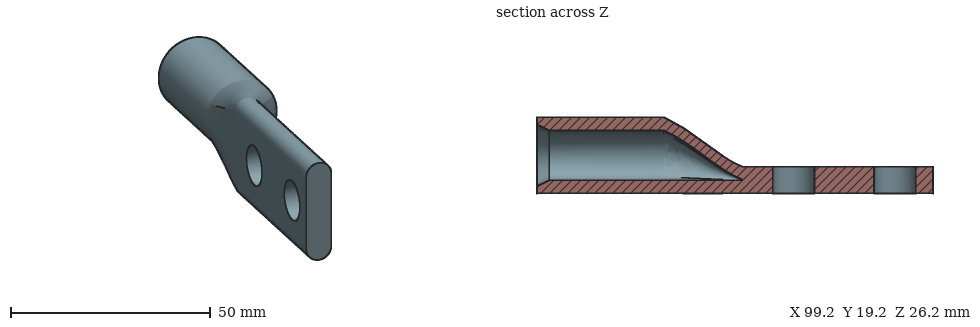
import math

import cadquery as cq


total_length = 99.22
barrel_diameter = 19.2
barrel_length = 31.75
neck_length = 19.75
bore_diameter = 12.4
mouth_diameter = 15.4
mouth_depth = 3.1
tongue_width = 26.19
hole_diameter = 10.4
hole_spacing = 25.4
hole_end_distance = 9.55

seam_angle = math.radians(29)
end_slope = 0.65
neck_steps = 4
slit_thickness = 0.05

barrel_radius = barrel_diameter / 2
bore_radius = bore_diameter / 2
mouth_radius = mouth_diameter / 2
wall = barrel_radius - bore_radius
tongue_thickness = 2 * wall
tongue_y = wall - barrel_radius
flat_width = tongue_width - tongue_thickness
neck_end = barrel_length + neck_length
tongue_length = total_length - neck_end
far_hole_x = total_length - hole_end_distance


def yz_plane(x):
    """Cross-section plane at x, with local axes along Y and Z."""
    return cq.Workplane("YZ", origin=(x, 0, 0))


def round_points(radius):
    """Circle as eight (y, z) points: alternating arc ends and arc middles."""
    angles = [
        -seam_angle,
        0,
        seam_angle,
        math.pi / 2,
        math.pi - seam_angle,
        math.pi,
        math.pi + seam_angle,
        3 * math.pi / 2,
    ]
    return [(radius * math.cos(angle), radius * math.sin(angle)) for angle in angles]


def flat_points(thickness):
    """Flattened section as eight (y, z) points matching those of the circle."""
    half_thickness = thickness / 2
    half_flat = flat_width / 2
    front = tongue_y + half_thickness
    back = tongue_y - half_thickness
    tip = half_flat + half_thickness
    return [
        (front, -half_flat),
        (front, 0),
        (front, half_flat),
        (tongue_y, tip),
        (back, half_flat),
        (back, 0),
        (back, -half_flat),
        (tongue_y, -tip),
    ]


def blend(t):
    """S-shaped change from 0 to 1 with the same slope at both ends."""
    return t * t * (3 - 2 * t) + end_slope * t * (1 - t) * (1 - 2 * t)


def section_edges(points, is_flattened):
    """Crown, upper side, base and lower side of one closed neck section."""
    crown_start, crown_middle, top_front, tip, top_back, base_middle, low_back, low_tip = points
    arc = cq.Edge.makeThreePointArc
    upper_side = arc(top_front, tip, top_back)
    lower_side = arc(low_back, low_tip, crown_start)
    if is_flattened:
        crown = cq.Edge.makeLine(crown_start, top_front)
        base = cq.Edge.makeLine(top_back, low_back)
    else:
        crown = arc(crown_start, crown_middle, top_front)
        base = arc(top_back, base_middle, low_back)
    return [crown, upper_side, base, lower_side]


def neck_loft(radius, thickness):
    """Solid changing from a circle to a flattened section along the neck."""
    wires = []
    for step in range(neck_steps + 1):
        t = step / neck_steps
        share = blend(t)
        points = [
            cq.Vector(
                barrel_length + t * neck_length,
                start[0] + share * (end[0] - start[0]),
                start[1] + share * (end[1] - start[1]),
            )
            for start, end in zip(round_points(radius), flat_points(thickness))
        ]
        is_last = step == neck_steps
        wires.append(cq.Wire.assembleEdges(section_edges(points, is_last)))
    return cq.Workplane(obj=cq.Solid.makeLoft(wires))


def make_barrel():
    return yz_plane(0).circle(barrel_radius).extrude(barrel_length)


def make_tongue():
    section = yz_plane(neck_end).center(tongue_y, 0)
    return section.slot2D(tongue_width, tongue_thickness, 90).extrude(tongue_length)


def make_cavity():
    """Tapered mouth, straight bore and the flattened end inside the neck."""
    bore = yz_plane(0).circle(bore_radius).extrude(barrel_length)
    mouth = (
        yz_plane(0)
        .circle(mouth_radius)
        .workplane(offset=mouth_depth)
        .circle(bore_radius)
        .loft()
    )
    return bore.union(mouth).union(neck_loft(bore_radius, slit_thickness))


def make_holes():
    centers = [(far_hole_x - hole_spacing, 0), (far_hole_x, 0)]
    plane = cq.Workplane("XZ")
    return plane.pushPoints(centers).circle(hole_diameter / 2).extrude(barrel_diameter)


neck = neck_loft(barrel_radius, tongue_thickness)
body = make_barrel().union(neck).union(make_tongue())
result = body.cut(make_cavity()).cut(make_holes())